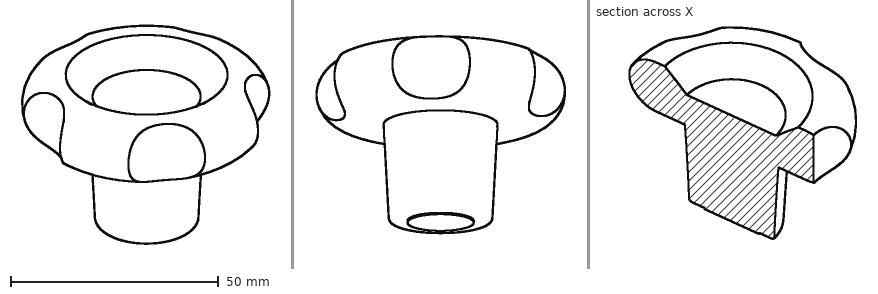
import cadquery as cq
import math

head_radius = 30.0
head_height = 16.0
rim_radius = head_height / 2
rim_center_radius = head_radius - rim_radius

dish_top_radius = 19.5
dish_floor_radius = 13.0
dish_depth = 6.0

scallop_count = 5
scallop_radius = 12.0
scallop_center_radius = 36.0
first_scallop_angle = -90.0

total_height = 40.4
insert_radius = 16.0 / 2
insert_projection = 0.35
stem_top_radius = 13.75
stem_end_radius = 12.5
stem_edge_fillet = 0.9

stem_end_z = insert_projection
head_bottom_z = total_height - head_height
head_middle_z = head_bottom_z + rim_radius
dish_floor_z = total_height - dish_depth


def make_head():
    """Revolve the dished disc and its half-round rim about Z."""
    profile = (
        cq.Workplane("XZ")
        .moveTo(0, head_bottom_z)
        .lineTo(rim_center_radius, head_bottom_z)
        .threePointArc((head_radius, head_middle_z), (rim_center_radius, total_height))
        .lineTo(dish_top_radius, total_height)
        .lineTo(dish_floor_radius, dish_floor_z)
        .lineTo(0, dish_floor_z)
        .close()
    )
    return profile.revolve(360, (0, 0, 0), (0, 1, 0))


def make_scallops():
    """Vertical cylinders evenly spaced around the head."""
    centers = []
    for index in range(scallop_count):
        angle = math.radians(first_scallop_angle + index * 360 / scallop_count)
        centers.append((scallop_center_radius * math.cos(angle), scallop_center_radius * math.sin(angle)))
    return (
        cq.Workplane("XY", origin=(0, 0, head_bottom_z))
        .pushPoints(centers)
        .circle(scallop_radius)
        .extrude(head_height)
    )


def make_stem():
    """Tapered stem with a rounded lower edge."""
    profile = (
        cq.Workplane("XZ")
        .moveTo(0, stem_end_z)
        .lineTo(stem_end_radius, stem_end_z)
        .lineTo(stem_top_radius, head_bottom_z)
        .lineTo(0, head_bottom_z)
        .close()
    )
    stem = profile.revolve(360, (0, 0, 0), (0, 1, 0))
    return stem.faces("<Z").edges().fillet(stem_edge_fillet)


def make_insert():
    """Round insert face projecting below the stem."""
    return cq.Workplane("XY").circle(insert_radius).extrude(insert_projection)


result = make_head().cut(make_scallops()).union(make_stem()).union(make_insert())